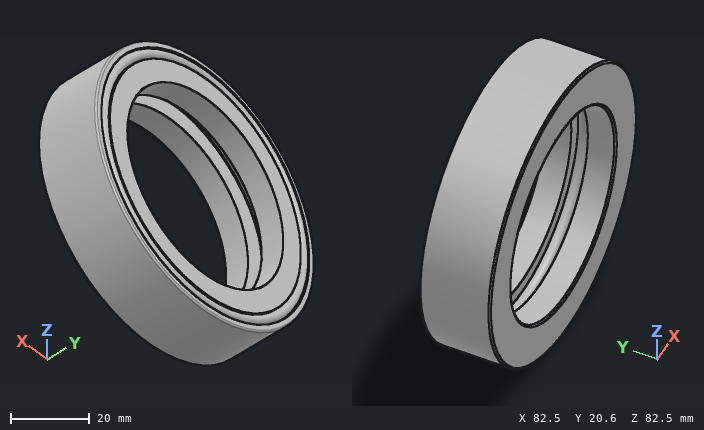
import cadquery as cq
overall_length = 20.6
outer_diameter = 82.55
bore_diameter = 58.8
front_outer_chamfer = 0.5
back_outer_fillet = 0.5
front_bore_chamfer = 0.5

face_seal_projection = 0.5
face_groove_diameter = 78.5
face_cord = 3.2

bore_groove_start = 8.0
bore_groove_width = 4.7
bore_seal_recess = 2.65
bore_cord = 3.2

outer_radius = outer_diameter / 2
bore_radius = bore_diameter / 2
housing_length = overall_length - face_seal_projection
half_length = overall_length / 2
front_y = -half_length
back_y = front_y + housing_length

face_groove_depth = face_cord - face_seal_projection
face_groove_outer_radius = face_groove_diameter / 2
face_groove_inner_radius = face_groove_outer_radius - face_cord

bore_groove_front_y = front_y + bore_groove_start
bore_groove_back_y = bore_groove_front_y + bore_groove_width
bore_groove_radius = bore_radius + bore_seal_recess + bore_cord


def revolve_about_y(profile):
    """Turn a closed profile, drawn as (radius, y), fully around the Y axis."""
    return profile.revolve(360, (0, 0, 0), (0, 1, 0))


def ring(inner_radius, ring_outer_radius, start_y, end_y):
    """Ring of rectangular section around the Y axis."""
    section = (
        cq.Workplane("XY")
        .moveTo(inner_radius, start_y)
        .lineTo(ring_outer_radius, start_y)
        .lineTo(ring_outer_radius, end_y)
        .lineTo(inner_radius, end_y)
        .close()
    )
    return revolve_about_y(section)


def o_ring(center_radius, center_y, cord):
    """Round-section ring around the Y axis."""
    section = cq.Workplane("XY").center(center_radius, center_y).circle(cord / 2)
    return section.revolve(360, (-center_radius, 0, 0), (-center_radius, 1, 0))


def make_housing():
    """Ring with eased edges, one groove in its bore and one in its back face."""
    section = (
        cq.Workplane("XY")
        .moveTo(bore_radius + front_bore_chamfer, front_y)
        .lineTo(outer_radius - front_outer_chamfer, front_y)
        .lineTo(outer_radius, front_y + front_outer_chamfer)
        .lineTo(outer_radius, back_y - back_outer_fillet)
        .radiusArc((outer_radius - back_outer_fillet, back_y), -back_outer_fillet)
        .lineTo(bore_radius, back_y)
        .lineTo(bore_radius, front_y + front_bore_chamfer)
        .close()
    )
    bore_groove = ring(bore_radius, bore_groove_radius, bore_groove_front_y, bore_groove_back_y)
    face_groove = ring(
        face_groove_inner_radius, face_groove_outer_radius, back_y - face_groove_depth, back_y
    )
    return revolve_about_y(section).cut(bore_groove).cut(face_groove)


housing = make_housing()

face_seal = o_ring(
    face_groove_outer_radius - face_cord / 2,
    half_length - face_cord / 2,
    face_cord,
)

bore_seal = o_ring(
    bore_groove_radius - bore_cord / 2,
    bore_groove_back_y - bore_cord / 2,
    bore_cord,
)

result = cq.Compound.makeCompound([housing.val(), face_seal.val(), bore_seal.val()])